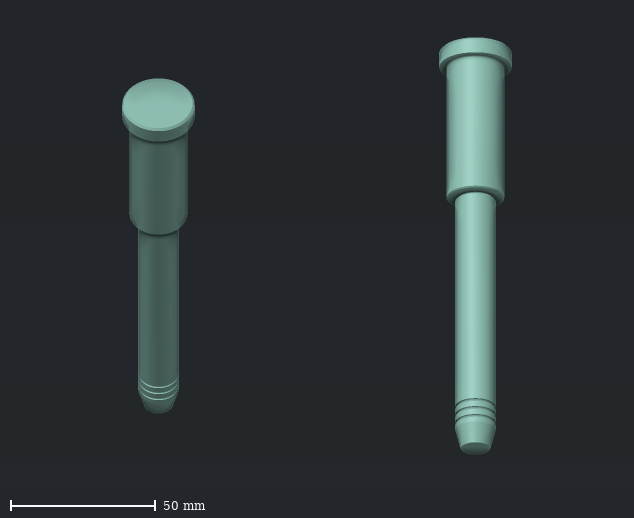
import cadquery as cq
import math

total_length = 151.0
head_diameter = 25.0
head_height = 6.0
sleeve_diameter = 20.0
sleeve_length = 50.0
pin_diameter = 14.0

sleeve_chamfer = 0.5
head_fillet = 0.6
head_chamfer = 0.8
neck_chamfer = 1.0

tip_length = 7.2
tip_angle = 15.0
tip_round = 0.5

groove_count = 3
groove_radius = 0.5
groove_pitch = 3.0
lowest_groove_center = 9.5

head_bottom = total_length - head_height
sleeve_bottom = head_bottom - sleeve_length


def cylinder(diameter, bottom, top):
    """Solid cylinder about Z between two heights."""
    return cq.Workplane("XY").workplane(offset=bottom).circle(diameter / 2).extrude(top - bottom)


def round_groove(diameter, radius, height):
    """Ring of circular section, centred on the surface of a cylinder of the given diameter."""
    return cq.Workplane("XZ").center(diameter / 2, height).circle(radius).revolve(
        360, (-diameter / 2, 0), (-diameter / 2, 1)
    )


def make_head():
    return cylinder(head_diameter, head_bottom, total_length).faces(">Z").edges().chamfer(head_chamfer)


def make_sleeve():
    return cylinder(sleeve_diameter, sleeve_bottom, head_bottom).faces("<Z").edges().chamfer(sleeve_chamfer)


def make_pin():
    shank = cylinder(pin_diameter, tip_length, sleeve_bottom).faces(">Z").edges().chamfer(neck_chamfer)
    tip_radius = pin_diameter / 2 - tip_length * math.tan(math.radians(tip_angle))
    tip = (
        cq.Workplane("XY")
        .circle(tip_radius)
        .workplane(offset=tip_length)
        .circle(pin_diameter / 2)
        .loft()
        .faces("<Z")
        .edges()
        .fillet(tip_round)
    )
    pin = shank.union(tip)
    for index in range(groove_count):
        height = lowest_groove_center + index * groove_pitch
        pin = pin.cut(round_groove(pin_diameter, groove_radius, height))
    return pin


def make_headed_sleeve():
    """Head and sleeve joined, with a fillet in the corner between them."""
    corner = cq.selectors.BoxSelector(
        (-sleeve_diameter, -sleeve_diameter, head_bottom - head_fillet),
        (sleeve_diameter, sleeve_diameter, head_bottom + head_fillet),
    )
    body = make_head().union(make_sleeve())
    return body.edges(corner).edges(cq.selectors.RadiusNthSelector(0)).fillet(head_fillet)


result = make_headed_sleeve().union(make_pin())